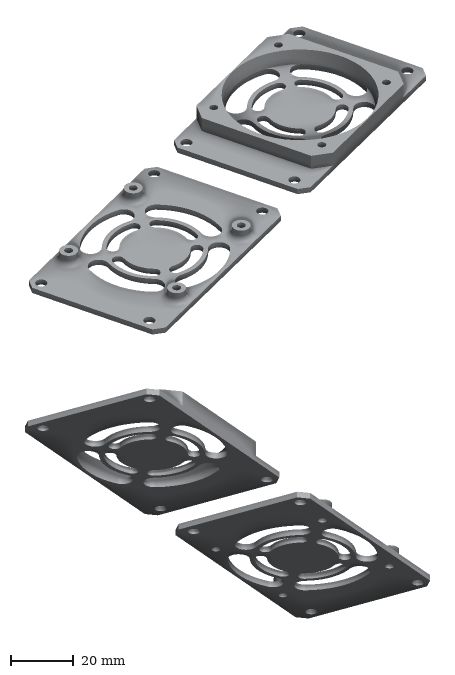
import cadquery as cq
import math

plate_width = 50.6
plate_length = 77.6
plate_thickness = 2.0
plate_chamfer = 3.0
overall_length = 167.6
plate_pitch = overall_length - plate_length

mount_hole_diameter = 3.9
mount_spacing_x = 40.0
mount_spacing_y = 70.0
mount_offset_x = -1.2

outer_slot = (17.0, 24.0)
inner_slot = (11.4, 15.5)
slots_per_ring = 4
slot_half_angle = 30

screw_spacing = 40.0
screw_hole_diameter = 2.8

boss_diameter = 6.0
boss_height = 4.0
boss_fillet = 2.0

frame_length = 54.0
frame_height = 5.0
frame_chamfer = 5.0
recess_top_radius = 25.0
recess_floor_radius = outer_slot[1]


def arc_slot(inner_radius, outer_radius, center_angle):
    """Cut tool for a curved slot with rounded ends, as tall as the plate is thick."""
    start = math.radians(center_angle - slot_half_angle)
    middle = math.radians(center_angle)
    end = math.radians(center_angle + slot_half_angle)
    mid_radius = (inner_radius + outer_radius) / 2
    cap_radius = (outer_radius - inner_radius) / 2

    def polar(radius, angle):
        return (radius * math.cos(angle), radius * math.sin(angle))

    def cap_tip(angle, direction):
        x, y = polar(mid_radius, angle)
        reach = direction * cap_radius
        return (x - reach * math.sin(angle), y + reach * math.cos(angle))

    return (
        cq.Workplane("XY")
        .moveTo(*polar(outer_radius, start))
        .threePointArc(polar(outer_radius, middle), polar(outer_radius, end))
        .threePointArc(cap_tip(end, 1), polar(inner_radius, end))
        .threePointArc(polar(inner_radius, middle), polar(inner_radius, start))
        .threePointArc(cap_tip(start, -1), polar(outer_radius, start))
        .close()
        .extrude(plate_thickness)
    )


def grill_plate():
    """Chamfered plate with corner mounting holes and two rings of slots, centred on the origin."""
    plate = (
        cq.Workplane("XY")
        .box(plate_width, plate_length, plate_thickness, centered=(True, True, False))
        .edges("|Z")
        .chamfer(plate_chamfer)
    )
    mount_holes = (
        cq.Workplane("XY")
        .center(mount_offset_x, 0)
        .rarray(mount_spacing_x, mount_spacing_y, 2, 2)
        .circle(mount_hole_diameter / 2)
        .extrude(plate_thickness)
    )
    plate = plate.cut(mount_holes)
    for slot in (outer_slot, inner_slot):
        for index in range(slots_per_ring):
            plate = plate.cut(arc_slot(*slot, index * 360 / slots_per_ring))
    return plate


def screw_holes(bottom, height):
    """Cut tool for the four fan screw holes."""
    return (
        cq.Workplane("XY", origin=(0, 0, bottom))
        .rarray(screw_spacing, screw_spacing, 2, 2)
        .circle(screw_hole_diameter / 2)
        .extrude(height)
    )


def boss():
    """Round boss standing on the plate, flared by a concave fillet at its foot."""
    radius = boss_diameter / 2
    flare_middle = boss_fillet * (1 - math.sqrt(0.5))
    return (
        cq.Workplane("XZ")
        .lineTo(radius + boss_fillet, 0)
        .threePointArc((radius + flare_middle, flare_middle), (radius, boss_fillet))
        .lineTo(radius, boss_height)
        .lineTo(0, boss_height)
        .close()
        .revolve(360, (0, 0), (0, 1))
    )


def stud_plate():
    """Grill plate with four drilled bosses."""
    body = grill_plate()
    for side_x in (-1, 1):
        for side_y in (-1, 1):
            place = (side_x * screw_spacing / 2, side_y * screw_spacing / 2, plate_thickness)
            body = body.union(boss().translate(place))
    return body.cut(screw_holes(0, plate_thickness + boss_height))


def fan_housing():
    """Grill plate with a raised frame around a tapered fan recess."""
    frame = (
        cq.Workplane("XY", origin=(0, 0, plate_thickness))
        .box(plate_width, frame_length, frame_height, centered=(True, True, False))
        .edges("|Z")
        .chamfer(frame_chamfer)
    )
    recess = cq.Workplane(
        cq.Solid.makeCone(
            recess_floor_radius, recess_top_radius, frame_height, pnt=cq.Vector(0, 0, plate_thickness)
        )
    )
    frame = frame.cut(recess).cut(screw_holes(plate_thickness, frame_height))
    return grill_plate().union(frame)


studs = stud_plate()
housing = fan_housing().translate((0, plate_pitch, 0))

result = cq.Compound.makeCompound([studs.val(), housing.val()])